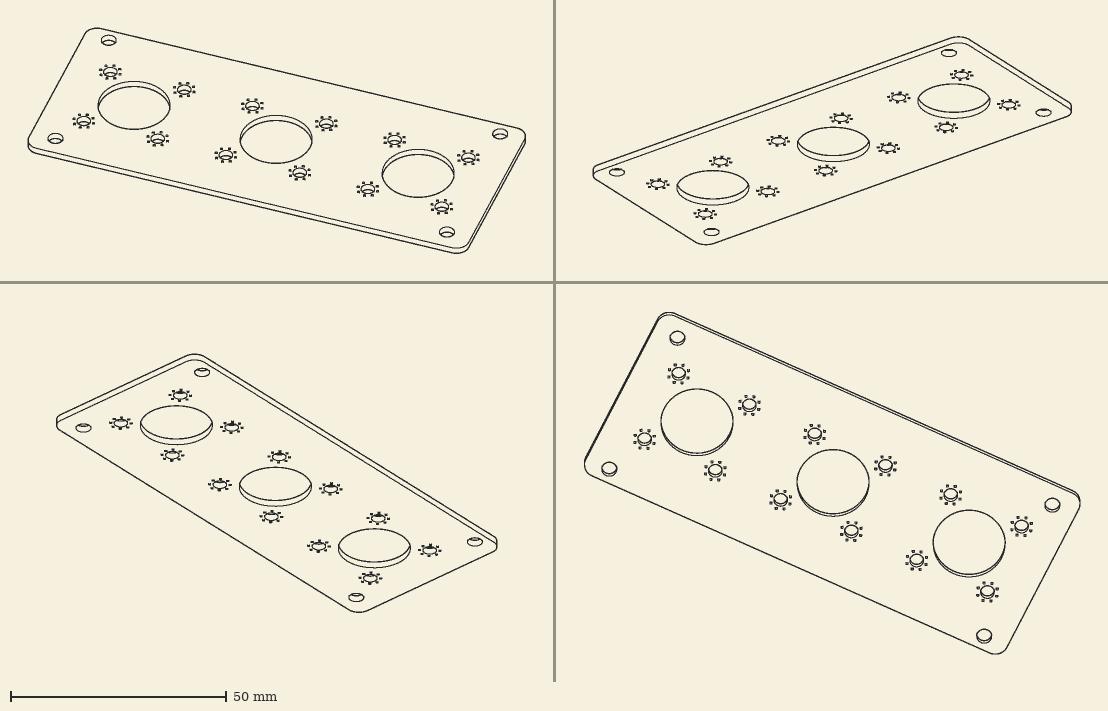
import cadquery as cq
import math

LENGTH = 108.5
WIDTH = 44.5
THICKNESS = 1.6
CORNER_RADIUS = 3.0

CORNER_HOLE_DIAMETER = 3.5
CORNER_HOLE_PITCH_X = 96.6
CORNER_HOLE_PITCH_Y = 36.5
CORNER_HOLE_OFFSET_Y = 0.8

STATION_COUNT = 3
STATION_PITCH = 35.0
STATION_OFFSET_Y = -0.4
OPENING_DIAMETER = 16.7
SCREW_HOLE_DIAMETER = 3.1
SCREW_HOLE_PITCH = 18.2

VIA_COUNT = 8
VIA_DIAMETER = 0.5
VIA_RING_RADIUS = 2.4


def rectangle_corners(center, pitch_x, pitch_y):
    """Return the four corners of a rectangle around a center point."""
    x, y = center
    return [
        (x + side_x * pitch_x / 2, y + side_y * pitch_y / 2)
        for side_x in (-1, 1)
        for side_y in (-1, 1)
    ]


def ring_points(center, radius, count):
    """Return points evenly spaced on a circle, the first one towards +X."""
    x, y = center
    angles = [2 * math.pi * i / count for i in range(count)]
    return [(x + radius * math.cos(a), y + radius * math.sin(a)) for a in angles]


def through_holes(points, diameter):
    """Return cylinders that pass through the plate at the given points."""
    return cq.Workplane("XY").pushPoints(points).circle(diameter / 2).extrude(THICKNESS)


corner_holes = rectangle_corners((0, CORNER_HOLE_OFFSET_Y), CORNER_HOLE_PITCH_X, CORNER_HOLE_PITCH_Y)
openings = [
    ((i - (STATION_COUNT - 1) / 2) * STATION_PITCH, STATION_OFFSET_Y)
    for i in range(STATION_COUNT)
]
screw_holes = [
    point
    for opening in openings
    for point in rectangle_corners(opening, SCREW_HOLE_PITCH, SCREW_HOLE_PITCH)
]
vias = [
    point
    for screw_hole in screw_holes
    for point in ring_points(screw_hole, VIA_RING_RADIUS, VIA_COUNT)
]

plate = (
    cq.Workplane("XY")
    .box(LENGTH, WIDTH, THICKNESS, centered=(True, True, False))
    .edges("|Z")
    .fillet(CORNER_RADIUS)
)

result = (
    plate
    .cut(through_holes(corner_holes, CORNER_HOLE_DIAMETER))
    .cut(through_holes(openings, OPENING_DIAMETER))
    .cut(through_holes(screw_holes, SCREW_HOLE_DIAMETER))
    .cut(through_holes(vias, VIA_DIAMETER))
)